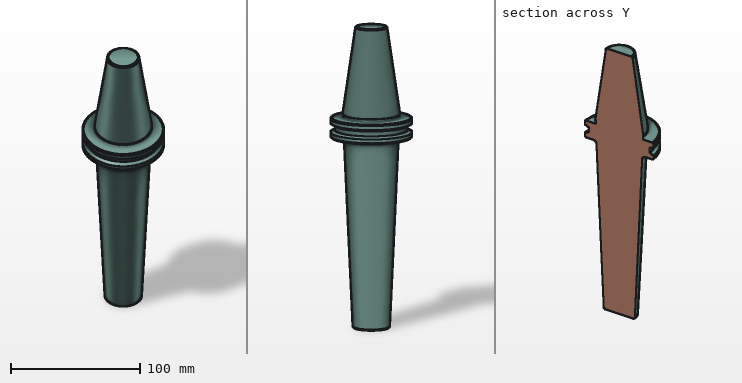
import cadquery as cq

total_length = 237.5

taper_length = 68.5
taper_ratio = 7 / 24
gauge_radius = 22.3
gauge_z = total_length - taper_length
taper_top_radius = gauge_radius - taper_length * taper_ratio / 2
taper_chamfer = 1.0

gauge_land = 0.7
collar_radius = 21.8
collar_fillet = 0.7
collar_height = 3.3

flange_radius = 31.7
flange_height = 15.7
flange_top = gauge_z - collar_height
flange_bottom = flange_top - flange_height
flange_top_chamfer = 1.0
flange_bottom_chamfer = 1.2
groove_radius = 28.3
groove_floor_width = 3.8
groove_mouth_width = 7.4
groove_middle = gauge_z - 11.2

nose_top_radius = 21.4
nose_end_radius = 14.5
neck_fillet = 2.8
nose_chamfer = 1.2


def make_body():
    """Revolve the half profile of the holder about Z."""
    profile = (
        cq.Workplane("XZ")
        .lineTo(nose_end_radius, 0)
        .lineTo(nose_top_radius, flange_bottom)
        .lineTo(flange_radius, flange_bottom)
        .lineTo(flange_radius, flange_top)
        .lineTo(collar_radius, flange_top)
        .lineTo(collar_radius, gauge_z - gauge_land)
        .lineTo(gauge_radius, gauge_z - gauge_land)
        .lineTo(gauge_radius, gauge_z)
        .lineTo(taper_top_radius, total_length)
        .lineTo(0, total_length)
        .close()
    )
    return profile.revolve(360, (0, 0, 0), (0, 1, 0))


def edges_at(body, radius, z):
    """Select the circular edge of the given radius at height z."""
    margin = 0.12
    corner = radius + margin
    near = cq.selectors.BoxSelector(
        (-corner, -corner, z - margin),
        (corner, corner, z + margin),
        boundingbox=True,
    )
    return body.edges(near).edges(cq.selectors.RadiusNthSelector(-1))


def make_groove():
    """Ring that cuts the gripper groove around the flange."""
    half_floor = groove_floor_width / 2
    half_mouth = groove_mouth_width / 2
    section = cq.Workplane("XZ").polyline([
        (groove_radius, groove_middle - half_floor),
        (flange_radius, groove_middle - half_mouth),
        (flange_radius, groove_middle + half_mouth),
        (groove_radius, groove_middle + half_floor),
    ]).close()
    return section.revolve(360, (0, 0, 0), (0, 1, 0))


body = make_body()
body = edges_at(body, nose_top_radius, flange_bottom).fillet(neck_fillet)
body = edges_at(body, collar_radius, flange_top).fillet(collar_fillet)
body = edges_at(body, flange_radius, flange_top).chamfer(flange_top_chamfer)
body = edges_at(body, flange_radius, flange_bottom).chamfer(flange_bottom_chamfer)
body = edges_at(body, taper_top_radius, total_length).chamfer(taper_chamfer)
body = edges_at(body, nose_end_radius, 0).chamfer(nose_chamfer)

result = body.cut(make_groove())